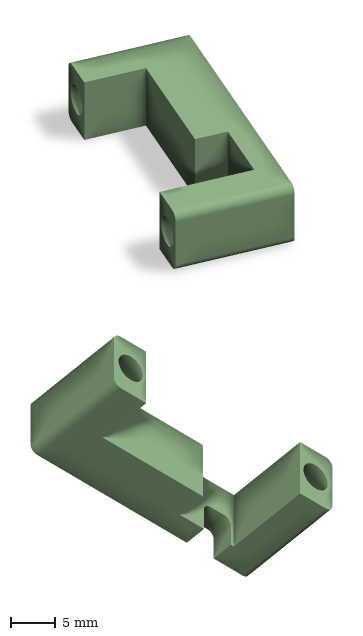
import cadquery as cq

length = 32.5
depth = 14.5
height = 8.0
edge_radius = 1.0

arm_width = 4.8
thick_wall = 7.0
thin_wall = 3.0
pocket_width = 8.0

hole_diameter = 3.6
hole_spacing = 27.5

notch_width = 4.0
notch_height = 4.0
notch_radius = 1.0
notch_right = 27.25

left = -length / 2
bottom = -height / 2
arm_inner_x = length / 2 - arm_width
pocket_left_x = arm_inner_x - pocket_width


def along_y(plane_y=0):
    """Workplane facing -Y, with local axes along X and Z."""
    return cq.Workplane("XZ", origin=(0, plane_y, 0))


def make_body():
    """U-shaped bracket with a stepped back wall and rounded long edges."""
    block = along_y().rect(length, height).extrude(-depth).edges("|Y").fillet(edge_radius)
    opening = (
        cq.Workplane("XY", origin=(0, 0, bottom))
        .moveTo(-arm_inner_x, 0)
        .lineTo(arm_inner_x, 0)
        .lineTo(arm_inner_x, depth - thin_wall)
        .lineTo(pocket_left_x, depth - thin_wall)
        .lineTo(pocket_left_x, depth - thick_wall)
        .lineTo(-arm_inner_x, depth - thick_wall)
        .close()
        .extrude(height)
    )
    return block.cut(opening)


def make_holes():
    """Cutters for the two holes running the full depth."""
    centres = [(-hole_spacing / 2, 0), (hole_spacing / 2, 0)]
    return along_y().pushPoints(centres).circle(hole_diameter / 2).extrude(-depth)


def make_notch():
    """Cutter for the cable notch, rounded at its two top corners."""
    centre_x = left + notch_right - notch_width / 2
    return (
        along_y(depth - thin_wall)
        .center(centre_x, bottom + notch_height / 2)
        .rect(notch_width, notch_height)
        .extrude(-thin_wall)
        .edges("|Y and >Z")
        .fillet(notch_radius)
    )


result = make_body().cut(make_holes()).cut(make_notch())